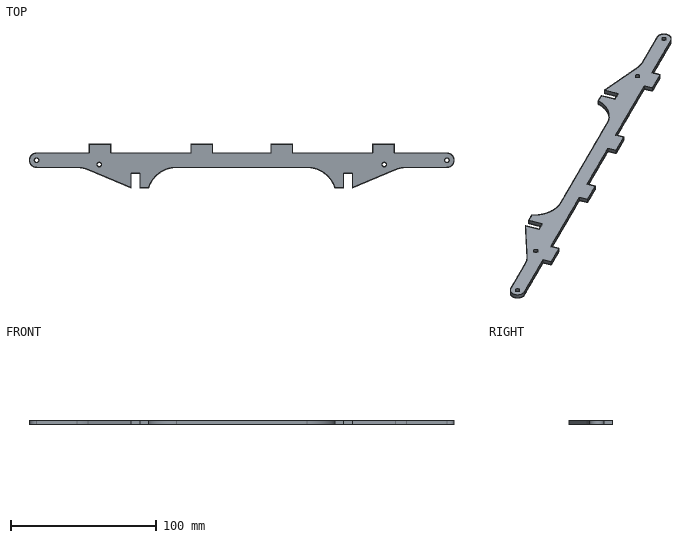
import cadquery as cq
import math

thickness = 3.0

bar_length = 292.0
bar_width = 10.0
bar_edge_y = bar_width / 2
hole_diameter = 3.0
end_hole_x = bar_length / 2 - bar_edge_y

tab_width = 15.0
tab_height = 6.0
tab_centers_x = (27.5, 97.5)

overall_width = 30.0
foot_tip_y = bar_edge_y + tab_height - overall_width
foot_drop = -bar_edge_y - foot_tip_y
slot_center_x = 73.0
slot_width = 6.0
slot_depth = 10.0
foot_inner_x = 64.0
foot_outer_x = slot_center_x + slot_width / 2
cove_radius = 20.0
ramp_top_x = 109.25
ramp_blend_radius = 20.0
foot_hole_x = 98.0
foot_hole_y = -3.0


def make_bar():
    return cq.Workplane("XY").slot2D(bar_length, bar_width).extrude(thickness)


def make_tab(center_x):
    return (
        cq.Workplane("XY")
        .center(center_x, (bar_edge_y + tab_height) / 2)
        .rect(tab_width, bar_edge_y + tab_height)
        .extrude(thickness)
    )


def make_foot():
    cove_span = math.sqrt(cove_radius**2 - (cove_radius - foot_drop) ** 2)
    cove_end_x = foot_inner_x - cove_span

    ramp_angle = math.atan2(foot_drop, ramp_top_x - foot_outer_x)
    blend_tangent = ramp_blend_radius * math.tan(ramp_angle / 2)
    blend_end_x = ramp_top_x + blend_tangent
    blend_start_x = ramp_top_x - blend_tangent * math.cos(ramp_angle)
    blend_start_y = -bar_edge_y - blend_tangent * math.sin(ramp_angle)

    return (
        cq.Workplane("XY")
        .moveTo(cove_end_x, 0)
        .lineTo(cove_end_x, -bar_edge_y)
        .radiusArc((foot_inner_x, foot_tip_y), cove_radius)
        .lineTo(foot_outer_x, foot_tip_y)
        .lineTo(blend_start_x, blend_start_y)
        .radiusArc((blend_end_x, -bar_edge_y), ramp_blend_radius)
        .lineTo(blend_end_x, 0)
        .close()
        .extrude(thickness)
    )


def make_slot():
    return (
        cq.Workplane("XY")
        .center(slot_center_x, foot_tip_y)
        .rect(slot_width, 2 * slot_depth)
        .extrude(thickness)
    )


def make_hole(x, y):
    return cq.Workplane("XY").center(x, y).circle(hole_diameter / 2).extrude(thickness)


additions = [make_tab(x) for x in tab_centers_x] + [make_foot()]
cuts = [make_slot(), make_hole(end_hole_x, 0), make_hole(foot_hole_x, foot_hole_y)]

result = make_bar()
for addition in additions:
    result = result.union(addition).union(addition.mirror("YZ"))
for cut in cuts:
    result = result.cut(cut).cut(cut.mirror("YZ"))